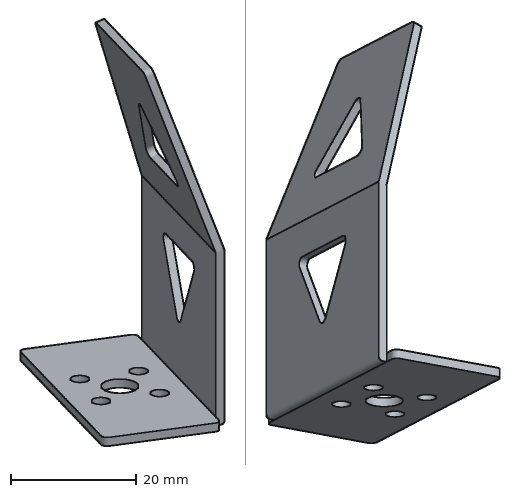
import cadquery as cq
import math

sheet = 1.5
total_height = 60.3
corner_radius = 1.0

base_width = 40.0
base_depth = 19.95
centre_hole_diameter = 6.0
screw_hole_diameter = 3
screw_spacing = 9.95

back_width = 35
back_top_width = 23.4
bend_height = 30.0
lean_angle = 18.5
heel_radius = 0.7
lean = math.radians(lean_angle)
mitre_setback = sheet * math.tan(lean / 2)
panel_length = (total_height - bend_height) / math.cos(lean)
front_bend_height = bend_height - mitre_setback

window_side = 16.0
window_height = window_side * math.sqrt(3) / 2
lower_window_edge = 24.0
upper_window_offset = 8.0


def make_base():
    """Flat plate with rounded corners, a central hole and four screw holes."""
    plate = (
        cq.Workplane("XY")
        .box(base_width, base_depth, sheet, centered=(True, True, False))
        .edges("|Z")
        .fillet(corner_radius)
        .faces(">Z")
        .workplane()
        .hole(centre_hole_diameter)
        .faces(">Z")
        .workplane()
        .rect(screw_spacing, screw_spacing, forConstruction=True)
        .vertices()
        .hole(screw_hole_diameter)
    )
    return plate.translate((0, -base_depth / 2, 0))


def front_plane(height, tilt):
    """Plane on the front face of a panel: local X is +X, local Y runs up the panel."""
    normal = (0, -math.cos(tilt), -math.sin(tilt))
    return cq.Plane(origin=(0, 0, height), xDir=(1, 0, 0), normal=normal)


def window_cutter(plane, edge, direction):
    """Triangular prism through a panel; its apex points along direction (+1 up, -1 down)."""
    half_side = window_side / 2
    return (
        cq.Workplane(plane)
        .moveTo(-half_side, edge)
        .lineTo(half_side, edge)
        .lineTo(0, edge + direction * window_height)
        .close()
        .extrude(sheet, both=True)
        .edges(cq.selectors.ParallelDirSelector(plane.zDir))
        .fillet(corner_radius)
    )


def make_upright():
    """Upright panel, mitred at the bend and rounded along its lower rear edge."""
    return (
        cq.Workplane("YZ")
        .polyline([(0, 0), (sheet, 0), (sheet, bend_height), (0, front_bend_height)])
        .close()
        .extrude(back_width / 2, both=True)
        .edges("<Z and >Y")
        .fillet(heel_radius)
    )


def make_leaning_panel(plane):
    """Tapered panel above the bend, mitred to meet the upright panel."""
    top = panel_length - mitre_setback
    half_bottom = back_width / 2
    half_top = back_top_width / 2
    side_profile = (
        cq.Workplane(cq.Plane(origin=plane.origin, xDir=-plane.zDir, normal=(1, 0, 0)))
        .polyline([(0, 0), (sheet, -mitre_setback), (sheet, top), (0, top)])
        .close()
        .extrude(half_bottom, both=True)
    )
    outline = (
        cq.Workplane(plane)
        .polyline([
            (-half_bottom, -mitre_setback),
            (half_bottom, -mitre_setback),
            (half_bottom, 0),
            (half_top, top),
            (-half_top, top),
            (-half_bottom, 0),
        ])
        .close()
        .extrude(-sheet)
        .edges(cq.selectors.ParallelDirSelector(plane.zDir))
        .edges(">Z")
        .fillet(corner_radius)
    )
    return side_profile.intersect(outline)


def make_back_plate():
    """Bent back plate with a triangular window in each panel."""
    leaning_plane = front_plane(front_bend_height, lean)
    upper_window = window_cutter(leaning_plane, upper_window_offset, 1)
    lower_window = window_cutter(front_plane(0, 0), lower_window_edge, -1)
    panels = make_upright().union(make_leaning_panel(leaning_plane))
    return panels.cut(upper_window).cut(lower_window)


base = make_base()
back_plate = make_back_plate()
result = cq.Compound.makeCompound([base.val(), back_plate.val()])